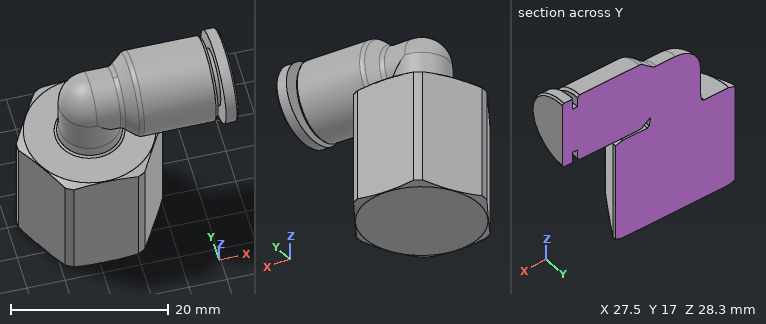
import cadquery as cq
import math

overall_length = 27.45
overall_height = 28.3

hex_across_flats = 17.0
hex_corner_radius = 9.5
hex_height = 16.8
hex_face_radius = 8.43
hex_chamfer_height = 0.37

elbow_radius = 4.0
sleeve_radius = 5.6
elbow_height = overall_height - sleeve_radius

collar_top = 18.2
collar_bottom_radius = 4.2
flare_height = 0.2
flare_radius = 4.5

sleeve_cone_start = 3.42
sleeve_cone_end = 5.43
sleeve_blend_radius = 1.0
sleeve_end = 15.55
sleeve_end_chamfer = 0.35

neck_radius = 3.75
flange_start = 16.27
flange_end = overall_length - hex_corner_radius
flange_half_width = 6.5
flange_half_height = 5.5
flange_chamfer = 0.25


def make_hex_body():
    """Hexagonal prism with corners on Y = 0, turned down by a chamfered cylinder."""
    hex_across_corners = hex_across_flats / math.cos(math.pi / 6)
    prism = cq.Workplane("XY").polygon(6, hex_across_corners).extrude(hex_height)
    turned_profile = [
        (0, 0),
        (hex_face_radius, 0),
        (hex_corner_radius, hex_chamfer_height),
        (hex_corner_radius, hex_height - hex_chamfer_height),
        (hex_face_radius, hex_height),
        (0, hex_height),
    ]
    turned = cq.Workplane("XZ").polyline(turned_profile).close().revolve(360, (0, 0), (0, 1))
    return prism.intersect(turned)


def make_vertical_leg():
    """Vertical leg with its flared collar, from the hexagon up to the elbow centre."""
    profile = [
        (0, hex_height),
        (flare_radius, hex_height),
        (collar_bottom_radius, hex_height + flare_height),
        (elbow_radius, collar_top),
        (elbow_radius, elbow_height),
        (0, elbow_height),
    ]
    return cq.Workplane("XZ").polyline(profile).close().revolve(360, (0, 0), (0, 1))


def make_elbow_ball():
    return cq.Workplane("XY").sphere(elbow_radius).translate((0, 0, elbow_height))


def make_horizontal_leg():
    """Horizontal leg that widens through a blended cone into the tube sleeve."""
    profile = [
        (0, 0),
        (0, elbow_radius),
        (sleeve_cone_start, elbow_radius),
        (sleeve_cone_end, sleeve_radius),
        (sleeve_end, sleeve_radius),
        (sleeve_end, 0),
    ]
    leg = cq.Workplane("XZ").polyline(profile).close().revolve(360, (0, 0), (1, 0))
    for cone_edge_x in (sleeve_cone_start, sleeve_cone_end):
        cone_edge = cq.selectors.NearestToPointSelector((cone_edge_x, 0, 0))
        leg = leg.edges("%CIRCLE").edges(cone_edge).fillet(sleeve_blend_radius)
    leg = leg.faces(">X").chamfer(sleeve_end_chamfer)
    return leg.translate((0, 0, elbow_height))


def make_release_ring():
    """Round neck leaving the sleeve, ending in an oval flange chamfered outside."""
    neck = cq.Workplane("YZ", origin=(sleeve_end, 0, elbow_height))
    neck = neck.circle(neck_radius).extrude(flange_start - sleeve_end)
    flange = cq.Workplane("YZ", origin=(flange_start, 0, elbow_height))
    flange = flange.ellipse(flange_half_width, flange_half_height)
    flange = flange.extrude(flange_end - flange_start).faces(">X").chamfer(flange_chamfer)
    return neck.union(flange)


result = (
    make_hex_body()
    .union(make_vertical_leg())
    .union(make_elbow_ball())
    .union(make_horizontal_leg())
    .union(make_release_ring())
)